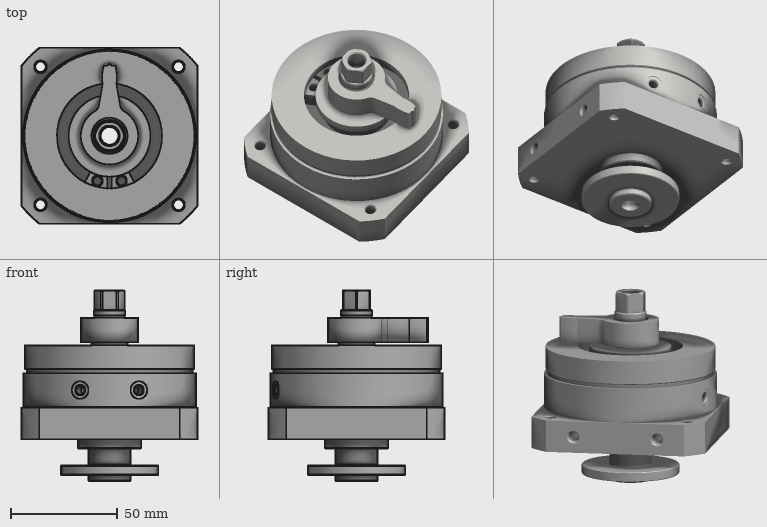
import cadquery as cq
import math


plate_side = 83.0
plate_top = 15.0
plate_corner_dia = 106.0
joint_gap = 0.3
joint_boss_dia = 58.0
corner_hole_offset = 32.5
side_hole_offset = 20.0
side_hole_depth = 12.0
m6_drill_dia = 4.92
m6_chamfer_dia = 6.0

housing_bottom = plate_top + joint_gap
ring_dia = 81.5
ring_top = 31.25
groove_dia = 78.3
cap_dia = 80.0
cap_bottom = 33.0
cap_top = 44.25
cap_chamfer_height = 0.4
cap_opening_dia = 49.5
chamber_dia = 58.0
chamber_top = 40.25

port_angle = 20.0
port_height = 23.25
port_face_dia = 8.3
port_face_distance = 40.35
port_depth = 6.8
m5_drill_dia = 4.13
m5_chamfer_dia = 5.1

stop_half_angle = 28.0
stop_clearance = 1.0
stop_slot_width = 2.25
stop_hole_radius = 22.0
stop_hole_angle = 15.0

shaft_bottom = -19.75
shaft_end_dia = 20.0
shaft_end_chamfer = 0.5
disc_dia = 46.0
disc_bottom = -16.75
disc_top = -12.25
disc_chamfer = 0.3
disc_root_height = 0.6
disc_root_step = 0.2
journal_dia = 30.0
journal_bottom = -4.4
journal_chamfer = 0.5
neck_dia = 32.0
hub_dia = 38.5
hub_top = cap_top
seat_dia = 17.0
undercut_dia = 14.3
undercut_recess = 0.3
collar_dia = 15.0
collar_bottom = 58.5
collar_top = 61.0
collar_chamfer = 0.45
hex_flats = 13.0
hex_corner_dia = 14.5
hex_tip_dia = 13.4
hex_top = 70.25
hex_tip_height = 0.6
hex_turn = 30.0
bore_dia = 8.3
supply_bore_dia = 8.57
supply_bore_depth = 10.0
supply_chamfer_dia = 9.73

lever_bottom = 45.75
lever_top = 57.25
lever_hub_dia = 27.0
arm_root_half_width = 4.85
arm_root_y = 15.0
arm_waist_half_width = 3.2
arm_waist_y = 24.8
arm_shoulder_half_width = 3.35
arm_bulge_half_width = 3.42
arm_bulge_y = 29.0
arm_end_half_width = 2.7
arm_end_y = 33.0
arm_point_half_width = 1.0
arm_point_y = 33.9
arm_fillet = 4.0

DRILL_POINT_ANGLE = 118.0
TURNING_AXIS_START = (0, 0, 0)
TURNING_AXIS_END = (0, 1, 0)


def revolved(profile):
    """Turn a closed (radius, height) profile about the Z axis."""
    return cq.Workplane("XZ").polyline(profile).close().revolve(360, TURNING_AXIS_START, TURNING_AXIS_END)


def cylinder(diameter, bottom, top):
    """Upright cylinder on the Z axis."""
    return cq.Workplane("XY").workplane(offset=bottom).circle(diameter / 2).extrude(top - bottom)


def drill(mouth, direction, diameter, chamfer_dia, depth, pointed):
    """Tool for a 45 degree chamfered hole that starts at mouth and runs along direction."""
    radius = diameter / 2
    chamfer_radius = chamfer_dia / 2
    profile = [(0, 0), (chamfer_radius, 0), (radius, chamfer_radius - radius), (radius, depth)]
    if pointed:
        point_height = radius / math.tan(math.radians(DRILL_POINT_ANGLE / 2))
        profile.append((0, depth + point_height))
    else:
        profile.append((0, depth))
    tool = revolved(profile).val()
    plane = cq.Plane(origin=mouth, normal=direction)
    return cq.Workplane(tool.moved(cq.Location(plane)))


def make_plate():
    """Square plate with rounded-off corners and a low boss that carries the housing."""
    plate = cq.Workplane("XY").rect(plate_side, plate_side).extrude(plate_top)
    plate = plate.intersect(cylinder(plate_corner_dia, 0, plate_top))
    plate = plate.union(cylinder(joint_boss_dia, 0, housing_bottom))
    plate = plate.cut(cylinder(journal_dia, 0, housing_bottom))
    for side_x in (-1, 1):
        for side_y in (-1, 1):
            mouth = (side_x * corner_hole_offset, side_y * corner_hole_offset, plate_top)
            plate = plate.cut(drill(mouth, (0, 0, -1), m6_drill_dia, m6_chamfer_dia, plate_top, False))
    for side_y in (-1, 1):
        mouth = (-plate_side / 2, side_y * side_hole_offset, plate_top / 2)
        plate = plate.cut(drill(mouth, (1, 0, 0), m6_drill_dia, m6_chamfer_dia, side_hole_depth, True))
    return plate


def make_stop_block():
    """Slotted block on the chamber floor, around the -Y direction, with two through holes."""
    height = chamber_top - cap_bottom
    inner_dia = neck_dia + 2 * stop_clearance
    wedge_y = -chamber_dia
    wedge_x = chamber_dia * math.tan(math.radians(stop_half_angle))
    floor = cq.Workplane("XY").workplane(offset=cap_bottom)
    wedge = floor.polyline([(0, 0), (-wedge_x, wedge_y), (wedge_x, wedge_y)]).close().extrude(height)
    block = cylinder(chamber_dia, cap_bottom, chamber_top).intersect(wedge)
    block = block.cut(cylinder(inner_dia, cap_bottom, chamber_top))
    block = block.cut(floor.rect(stop_slot_width, 2 * chamber_dia).extrude(height))
    for side in (-1, 1):
        angle = math.radians(side * stop_hole_angle)
        x = stop_hole_radius * math.sin(angle)
        y = -stop_hole_radius * math.cos(angle)
        block = block.cut(drill((x, y, chamber_top), (0, 0, -1), m5_drill_dia, m5_chamfer_dia, height, False))
    return block


def make_housing():
    """Turned housing with an open chamber, a stop block and two radial air ports."""
    cap_lip_radius = (cap_dia + groove_dia) / 4
    housing = revolved([
        (journal_dia / 2, housing_bottom),
        (ring_dia / 2, housing_bottom),
        (ring_dia / 2, ring_top),
        (groove_dia / 2, ring_top),
        (groove_dia / 2, cap_bottom),
        (cap_lip_radius, cap_bottom),
        (cap_dia / 2, cap_bottom + cap_chamfer_height),
        (cap_dia / 2, cap_top),
        (cap_opening_dia / 2, cap_top),
        (cap_opening_dia / 2, chamber_top),
        (chamber_dia / 2, chamber_top),
        (chamber_dia / 2, cap_bottom),
        (journal_dia / 2, cap_bottom),
    ])
    housing = housing.union(make_stop_block())
    for side in (-1, 1):
        angle = math.radians(side * port_angle)
        outward = cq.Vector(math.sin(angle), -math.cos(angle), 0)
        mouth = outward * port_face_distance + cq.Vector(0, 0, port_height)
        face = cq.Workplane(cq.Plane(origin=mouth, normal=outward)).circle(port_face_dia / 2)
        housing = housing.cut(face.extrude(ring_dia / 2))
        housing = housing.cut(drill(mouth, -outward, m5_drill_dia, m5_chamfer_dia, port_depth, True))
    return housing


def make_hexagon():
    """Hexagon with turned corners and a bevelled tip; two of its flats face along Y."""
    height = hex_top - collar_top
    hexagon = cq.Workplane("XY").workplane(offset=collar_top)
    hexagon = hexagon.polygon(6, hex_flats, circumscribed=True).extrude(height)
    hexagon = hexagon.rotate((0, 0, 0), (0, 0, 1), hex_turn)
    turned = revolved([
        (0, collar_top),
        (hex_corner_dia / 2, collar_top),
        (hex_corner_dia / 2, hex_top - hex_tip_height),
        (hex_tip_dia / 2, hex_top),
        (0, hex_top),
    ])
    return hexagon.intersect(turned)


def make_shaft():
    """Hollow spindle from the bottom disc up to the hexagon."""
    end_radius = shaft_end_dia / 2
    disc_radius = disc_dia / 2
    undercut_bottom = lever_top - undercut_recess
    seat_bevel = (seat_dia - undercut_dia) / 2
    shaft = revolved([
        (0, shaft_bottom),
        (end_radius - shaft_end_chamfer, shaft_bottom),
        (end_radius, shaft_bottom + shaft_end_chamfer),
        (end_radius, disc_bottom),
        (disc_radius - disc_chamfer, disc_bottom),
        (disc_radius, disc_bottom + disc_chamfer),
        (disc_radius, disc_top - disc_chamfer),
        (disc_radius - disc_chamfer, disc_top),
        (end_radius + disc_root_step, disc_top),
        (end_radius, disc_top + disc_root_height),
        (end_radius, journal_bottom),
        (journal_dia / 2 - journal_chamfer, journal_bottom),
        (journal_dia / 2, journal_bottom + journal_chamfer),
        (journal_dia / 2, cap_bottom),
        (neck_dia / 2, cap_bottom),
        (neck_dia / 2, chamber_top),
        (hub_dia / 2, chamber_top),
        (hub_dia / 2, hub_top),
        (seat_dia / 2, hub_top),
        (seat_dia / 2, undercut_bottom - seat_bevel),
        (undercut_dia / 2, undercut_bottom),
        (undercut_dia / 2, collar_bottom),
        (collar_dia / 2, collar_bottom),
        (collar_dia / 2, collar_top - collar_chamfer),
        (collar_dia / 2 - collar_chamfer, collar_top),
        (0, collar_top),
    ])
    shaft = shaft.union(make_hexagon())
    shaft = shaft.cut(cylinder(bore_dia, shaft_bottom, hex_top))
    supply_bore = drill((0, 0, hex_top), (0, 0, -1), supply_bore_dia, supply_chamfer_dia,
                        supply_bore_depth, False)
    return shaft.cut(supply_bore)


def make_lever():
    """Lever with a round hub on the spindle seat and a pointed arm toward +Y."""
    height = lever_top - lever_bottom
    taper = (arm_root_half_width - arm_waist_half_width) / (arm_waist_y - arm_root_y)
    base_half_width = arm_waist_half_width + taper * arm_waist_y
    half_arm = (
        cq.Workplane("XY").workplane(offset=lever_bottom)
        .lineTo(base_half_width, 0)
        .lineTo(arm_waist_half_width, arm_waist_y)
        .lineTo(arm_shoulder_half_width, arm_waist_y)
        .threePointArc((arm_bulge_half_width, arm_bulge_y), (arm_end_half_width, arm_end_y))
        .lineTo(arm_point_half_width, arm_end_y)
        .lineTo(0, arm_point_y)
        .close()
        .extrude(height)
    )
    arm = half_arm.union(half_arm.mirror("YZ"))
    lever = arm.union(cylinder(lever_hub_dia, lever_bottom, lever_top))
    hub_radius = lever_hub_dia / 2
    root_zone = cq.selectors.BoxSelector(
        (-hub_radius, hub_radius / 2, lever_bottom), (hub_radius, arm_root_y, lever_top))
    lever = lever.edges("|Z").edges(root_zone).fillet(arm_fillet)
    return lever.cut(cylinder(seat_dia, lever_bottom, lever_top))


plate = make_plate()
housing = make_housing()
shaft = make_shaft()
lever = make_lever()

result = cq.Compound.makeCompound([plate.val(), housing.val(), shaft.val(), lever.val()])